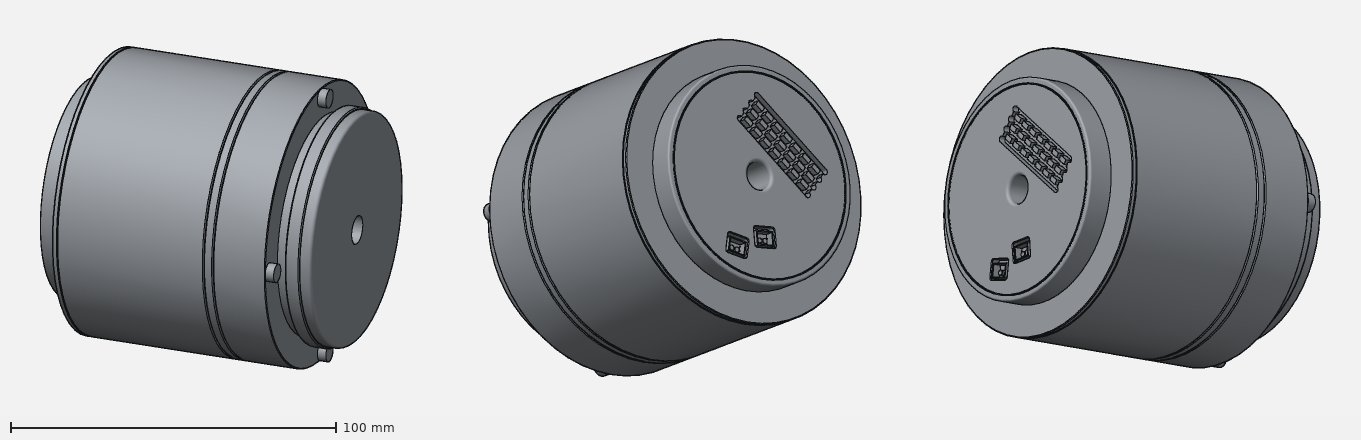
import cadquery as cq
import math

length = 91.2
body_diameter = 90.0
body_radius = body_diameter / 2
body_start = 8.3
body_end = 79.2
front_disc_radius = 34.8
front_disc_fillet = 0.6
body_edge_chamfer = 0.3

neck_radius = 35.1
flange_start = 82.6
flange_end = 87.4
flange_radius = 37.6
flange_chamfer = 0.4
rim_radius = 36.9
rim_fillet = 1.0

bore_radius = 4.5
bore_mouth_fillet = 1.1

joint_grooves = [(9.8, 0.5), (58.3, 0.7), (61.4, 0.7)]

ring_groove_radius = 33.0
ring_groove_width = 0.4
ring_groove_depth = 0.4

screw_count = 4
screw_head_radius = 2.9
screw_head_height = 2.8

grille_distance = 14.1
grille_angle = 52.5
grille_depth = 2.3
grille_length = 34.6
block_rows = 3
block_columns = 7
row_pitch = 3.6
column_pitch = 4.5
channel_width = 1.9
cross_channel_width = 1.4

sockets = [(1.9, -19.4, 6.0), (-8.6, -23.8, -8.0)]
socket_width = 8.3
socket_height = 6.9
socket_corner_radius = 1.1
socket_edge_chamfer = 0.3
socket_depth = 2.7
housing_width = 6.3
housing_height = 4.7
housing_wall = 0.4
housing_drop = 0.4
pin_radius = 0.8
pin_pitch = 2.0
pin_drop = 0.8
pin_length = 1.4
pin_count = 2


def cylinder(start, end, radius):
    return cq.Workplane("YZ", origin=(start, 0, 0)).circle(radius).extrude(end - start)


def v_groove(start, width):
    """Ring of triangular section with its tip half a width below the body surface."""
    half = width / 2
    tip = (start + half, body_radius - half)
    corners = [(start, body_radius), (start + width, body_radius), tip]
    return cq.Workplane("XY").polyline(corners).close().revolve(360, (0, 0, 0), (1, 0, 0))


def ring_groove():
    ring = cq.Workplane("YZ").circle(ring_groove_radius).circle(ring_groove_radius - ring_groove_width)
    return ring.extrude(ring_groove_depth)


def face_plane(sideways=0.0, up=0.0, tilt=0.0, depth=0.0):
    """Plane parallel to the front face: local x along -Y, local y along +Z, normal out of the part."""
    plane = cq.Plane(origin=(depth, -sideways, up), xDir=(0, -1, 0), normal=(-1, 0, 0))
    return cq.Workplane(plane.rotated((0, 0, tilt)))


def make_body():
    disc = cylinder(0, body_start, front_disc_radius).faces("<X").edges().fillet(front_disc_fillet)
    drum = cylinder(body_start, body_end, body_radius).edges().chamfer(body_edge_chamfer)
    neck = cylinder(body_end, flange_start, neck_radius)
    flange = cylinder(flange_start, flange_end, flange_radius).edges().chamfer(flange_chamfer)
    rim = cylinder(flange_end, length, rim_radius).faces(">X").edges().fillet(rim_fillet)
    body = disc.union(drum).union(neck).union(flange).union(rim)
    for start, width in joint_grooves:
        body = body.cut(v_groove(start, width))
    return body.cut(ring_groove())


def make_screw_heads():
    return (
        cq.Workplane("YZ", origin=(body_end, 0, 0))
        .polarArray(body_radius - screw_head_radius, 0, 360, screw_count)
        .circle(screw_head_radius)
        .extrude(screw_head_height)
    )


def cut_bore(part):
    bored = part.cut(cylinder(0, length, bore_radius))
    smallest_circle = cq.selectors.RadiusNthSelector(0)
    mouth = bored.faces("<X").edges("%CIRCLE").edges(smallest_circle)
    return mouth.fillet(bore_mouth_fillet)


def make_grille():
    angle = math.radians(grille_angle)
    sideways = grille_distance * math.cos(angle)
    up = grille_distance * math.sin(angle)
    plane = face_plane(sideways, up, grille_angle - 90)
    block_length = column_pitch - cross_channel_width
    block_width = row_pitch - channel_width
    crossed_length = block_columns * column_pitch + cross_channel_width
    crossed_width = block_rows * row_pitch
    channels = plane.rarray(0.9, row_pitch, 1, block_rows + 1).slot2D(grille_length, channel_width)
    recess = channels.extrude(-grille_depth)
    recess = recess.union(plane.rect(crossed_length, crossed_width).extrude(-grille_depth))
    blocks = plane.rarray(column_pitch, row_pitch, block_columns, block_rows).rect(block_length, block_width)
    return recess.cut(blocks.extrude(-grille_depth))


def make_socket(sideways, up, tilt):
    """Material removed for one socket: a pocket around a thin-walled housing that holds two pins."""
    plane = face_plane(sideways, up, tilt)
    pocket_width = socket_width - 2 * socket_edge_chamfer
    pocket_height = socket_height - 2 * socket_edge_chamfer
    cavity_width = housing_width - 2 * housing_wall
    cavity_height = housing_height - 2 * housing_wall

    pocket = plane.rect(pocket_width, pocket_height).extrude(-socket_depth)
    pocket = pocket.edges("|X").fillet(socket_corner_radius - socket_edge_chamfer)
    opening = plane.sketch().rect(socket_width, socket_height).vertices().fillet(socket_corner_radius)
    lead_in = opening.finalize().extrude(-socket_edge_chamfer, taper=45)
    pocket = pocket.union(lead_in)

    housing_plane = plane.center(0, -housing_drop)
    housing = housing_plane.rect(housing_width, housing_height).extrude(-socket_depth)
    housing = housing.cut(housing_plane.rect(cavity_width, cavity_height).extrude(-socket_depth))
    pins = (
        face_plane(sideways, up, tilt, socket_depth)
        .center(0, -pin_drop)
        .rarray(pin_pitch, 0.9, pin_count, 1)
        .circle(pin_radius)
        .extrude(pin_length)
    )
    return pocket.cut(housing).cut(pins)


result = cut_bore(make_body().union(make_screw_heads())).cut(make_grille())
for sideways, up, tilt in sockets:
    result = result.cut(make_socket(sideways, up, tilt))